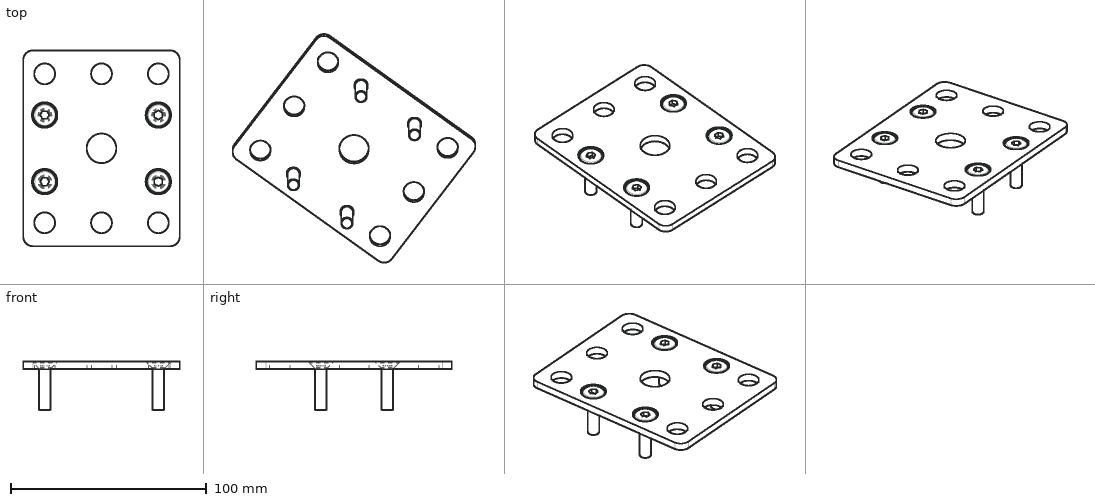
import cadquery as cq

PLATE_WIDTH = 80.0
PLATE_LENGTH = 100.0
PLATE_THICKNESS = 4.0
CORNER_RADIUS = 5.0

CENTRE_HOLE_DIAMETER = 15.0
MOUNT_HOLE_DIAMETER = 10.5
COLUMN_SPACING = 29.0
MOUNT_ROW_OFFSET = 38.0

SCREW_ROW_OFFSET = 17.0
CLEARANCE_DIAMETER = 7.0
COUNTERSINK_DIAMETER = 13.1
COUNTERSINK_ANGLE = 90.0

SCREW_LENGTH = 25.0
SHANK_DIAMETER = 6.0
HEAD_DIAMETER = 11.6
HEAD_RIM_RADIUS = 0.6
TIP_CHAMFER = 0.4
SOCKET_ACROSS_CORNERS = 4.0 / 0.75 ** 0.5
SOCKET_DEPTH = 2.3

RIM_DEPTH = (COUNTERSINK_DIAMETER - HEAD_DIAMETER) / 2
HEAD_CONE_DEPTH = (HEAD_DIAMETER - SHANK_DIAMETER) / 2

SCREW_PLACES = [
    (side * COLUMN_SPACING, row * SCREW_ROW_OFFSET, socket_turn)
    for side, socket_turn in ((-1, 0), (1, 30))
    for row in (-1, 1)
]


def make_plate():
    """Rounded plate with a centre hole, two rows of mounting holes and four countersinks."""
    mount_points = [
        (column * COLUMN_SPACING, row * MOUNT_ROW_OFFSET)
        for column in (-1, 0, 1)
        for row in (-1, 1)
    ]
    screw_points = [(x, y) for x, y, _ in SCREW_PLACES]
    blank = (
        cq.Workplane("XY")
        .rect(PLATE_WIDTH, PLATE_LENGTH)
        .extrude(PLATE_THICKNESS)
        .edges("|Z")
        .fillet(CORNER_RADIUS)
    )
    top = blank.faces(">Z").workplane(origin=(0, 0, PLATE_THICKNESS))
    drilled = top.hole(CENTRE_HOLE_DIAMETER).pushPoints(mount_points).hole(MOUNT_HOLE_DIAMETER)
    return (
        drilled.faces(">Z")
        .workplane(origin=(0, 0, PLATE_THICKNESS))
        .pushPoints(screw_points)
        .cskHole(CLEARANCE_DIAMETER, COUNTERSINK_DIAMETER, COUNTERSINK_ANGLE)
    )


def make_screw(x, y, socket_turn):
    """Countersunk screw with a rounded head rim, a hexagon socket and a chamfered tip."""
    head_radius = HEAD_DIAMETER / 2
    shank_radius = SHANK_DIAMETER / 2
    body = (
        cq.Workplane("XZ")
        .lineTo(head_radius - HEAD_RIM_RADIUS, 0)
        .radiusArc((head_radius, -HEAD_RIM_RADIUS), HEAD_RIM_RADIUS)
        .lineTo(head_radius, -RIM_DEPTH)
        .lineTo(shank_radius, -RIM_DEPTH - HEAD_CONE_DEPTH)
        .lineTo(shank_radius, TIP_CHAMFER - SCREW_LENGTH)
        .lineTo(shank_radius - TIP_CHAMFER, -SCREW_LENGTH)
        .lineTo(0, -SCREW_LENGTH)
        .close()
        .revolve(360, (0, 0), (0, 1))
    )
    socket = cq.Workplane("XY").polygon(6, SOCKET_ACROSS_CORNERS).extrude(-SOCKET_DEPTH)
    screw = body.cut(socket).rotate((0, 0, 0), (0, 0, 1), socket_turn)
    return screw.translate((x, y, PLATE_THICKNESS))


plate = make_plate()
screws = [make_screw(x, y, socket_turn) for x, y, socket_turn in SCREW_PLACES]

result = cq.Compound.makeCompound([plate.val(), *[screw.val() for screw in screws]])